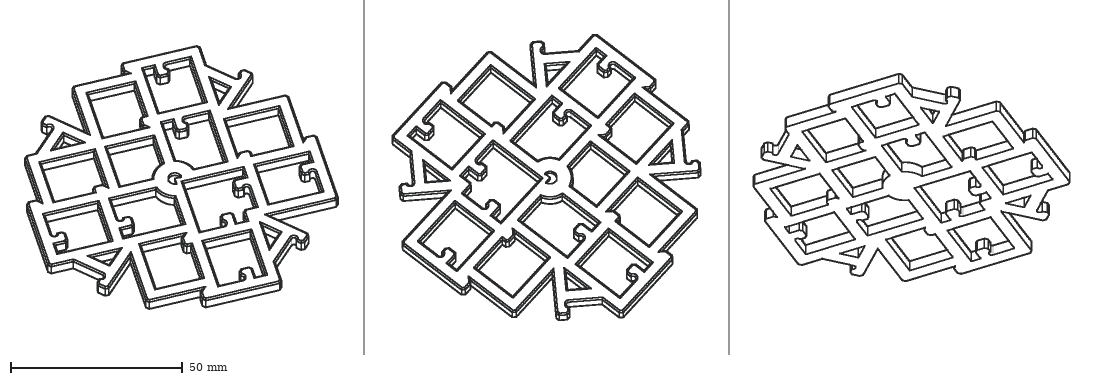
import cadquery as cq
import math

SPAN = 88.0
BAR = SPAN / 22
CORNER = BAR / 5
TOP_CHAMFER = BAR / 8
HUB_RADIUS = 6.7
RECESS_RADIUS = BAR / 2
RECESS_DEPTH = 1.3

UPRIGHT_BARS = [
    (-11, -1, 5),
    (-10, -5, 0),
    (-6, -1, 5),
    (-5, -10, 0),
    (-5, 4, 10),
    (-0.5, -11, 11),
    (4, -11, 0),
    (4, 4, 11),
    (5, -1, 5),
    (9, -5, 0),
    (10, -1, 5),
]
LEVEL_BARS = [
    (10, -1, 5),
    (9, -5, 0),
    (5, -1, 5),
    (4, -11, 0),
    (4, 4, 11),
    (-0.5, -11, 11),
    (-5, -10, 0),
    (-5, 4, 10),
    (-6, -1, 5),
    (-10, -5, 0),
    (-11, -1, 5),
]

INNER_WALL = 5
OUTER_WALL = 10
OUTER_REACH = 1
INNER_REACH = OUTER_REACH + 0.2 / BAR
HOOK_ROOT = 0.5
HOOK_CONTACT = 2.25
ARM_START = 4.5 * math.sqrt(2)
ARM_BASE = 10
BRACE_END = 3.3


def bar(x_min, x_max, y_min, y_max):
    """Rectangular bar, given in grid units, with all upright corners chamfered."""
    width = (x_max - x_min) * BAR
    height = (y_max - y_min) * BAR
    centre = ((x_min + x_max) * BAR / 2, (y_min + y_max) * BAR / 2, 0)
    block = cq.Workplane("XY").box(width, height, BAR, centered=(True, True, False))
    return block.edges("|Z").chamfer(CORNER).translate(centre)


def notch(wall, side):
    """Round cutter, touching a wall at X = wall, for the side of a hook that points along +X."""
    return cq.Workplane("XY").center(wall * BAR + CORNER, side * BAR).circle(CORNER).extrude(BAR)


def turn(body, angle):
    return body.rotate((0, 0, 0), (0, 0, 1), angle)


def make_grid():
    grid = cq.Workplane("XY")
    for edge, start, end in UPRIGHT_BARS:
        grid = grid.union(bar(edge, edge + 1, start, end))
    for edge, start, end in LEVEL_BARS:
        grid = grid.union(bar(start, end, edge, edge + 1))
    return grid


def add_straight_hooks(body, wall, reach):
    """Four hooks standing on the left, right, top and bottom walls, pointing inwards."""
    root = -wall - HOOK_ROOT
    tip = reach - wall
    gap = notch(-wall, HOOK_CONTACT)
    left_hook = bar(root, tip, HOOK_CONTACT - 1, HOOK_CONTACT).cut(gap)
    right_hook = bar(root, tip, HOOK_CONTACT, HOOK_CONTACT + 1).cut(gap).mirror("YZ")
    for angle in (0, -90):
        body = body.union(turn(left_hook, angle)).union(turn(right_hook, angle))
    return body


def add_diagonal_arms(body):
    """Four braced arms at 45 degrees that end in a hook, mirrored left to right."""
    arm = bar(ARM_START, ARM_BASE + OUTER_REACH, -0.5, 0.5)
    arm = arm.union(bar(ARM_BASE - 1, ARM_BASE, -0.5, BRACE_END))
    arm = arm.cut(notch(ARM_BASE, 0.5))
    for angle in (135, 225):
        left_arm = turn(arm, angle)
        body = body.union(left_arm).union(left_arm.mirror("YZ"))
    return body


def bevel_top(body):
    return body.faces(">Z").edges().chamfer(TOP_CHAMFER)


def add_hub(body):
    """Bevelled round hub that fills every quadrant except the +X +Y one."""
    hub = bevel_top(cq.Workplane("XY").circle(HUB_RADIUS).extrude(BAR))
    open_quadrant = cq.Workplane("XY").box(HUB_RADIUS, HUB_RADIUS, BAR, centered=False)
    return body.union(hub.cut(open_quadrant))


def cut_recess(body):
    """Blind round recess at the centre, with its +X +Y quadrant left solid."""
    recess = cq.Workplane("XY").circle(RECESS_RADIUS).extrude(RECESS_DEPTH)
    recess = recess.cut(cq.Workplane("XY").box(BAR, BAR, BAR, centered=False))
    return body.cut(recess.translate((0, 0, BAR - RECESS_DEPTH)))


result = make_grid()
result = add_straight_hooks(result, INNER_WALL, INNER_REACH)
result = add_straight_hooks(result, OUTER_WALL, OUTER_REACH)
result = add_diagonal_arms(result)
result = bevel_top(result)
result = add_hub(result)
result = cut_recess(result)